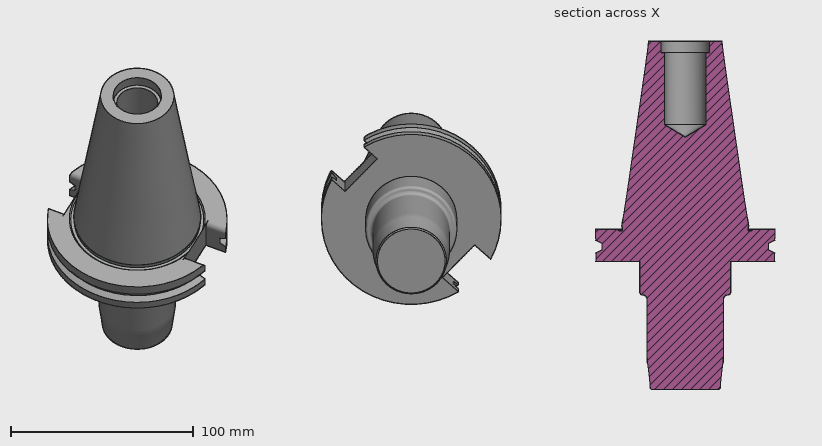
import cadquery as cq
import math

total_height = 190.6
flange_bottom = 70.0
flange_top = 87.7
gauge_plane = 89.0

taper_ratio = 7 / 24
gauge_radius = 69.8 / 2
taper_edge = 0.4
taper_bottom = gauge_plane + taper_edge
taper_bottom_radius = gauge_radius - taper_edge * taper_ratio / 2
taper_top_radius = gauge_radius - (total_height - gauge_plane) * taper_ratio / 2

neck_radius = 69.2 / 2
relief_outer_radius = 37.2
relief_floor_radius = 36.4
relief_depth = 0.8

flange_radius = 98.3 / 2
groove_radius = 45.7
groove_wall_rise = 1.7
groove_lower_edge = 74.7
groove_upper_edge = 81.5

slot_width = 25.7
slot_edge_radius = 2.9
left_slot_floor = 37.5
right_slot_floor = 35.5

collar_radius = 50.0 / 2
body_radius = 42 / 2
collar_round = 1.7
body_round = collar_radius - body_radius - collar_round
collar_round_top = 53.4
shoulder_height = collar_round_top - collar_round

nose_chamfer = 0.8
nose_base_radius = 19.3
blend_top = 17.7
blend_bottom = 14.9
nose_apex_height = (blend_top + blend_bottom) / 2
nose_slope = (body_radius - nose_base_radius) / (nose_apex_height - nose_chamfer)
blend_bottom_radius = nose_base_radius + nose_slope * (blend_bottom - nose_chamfer)

counterbore_radius = 26.3 / 2
counterbore_depth = 6.3
bore_radius = 22.5 / 2
bore_depth = 45.7
drill_half_angle = math.radians(59)
drill_tip_height = bore_radius / math.tan(drill_half_angle)


def revolved_body():
    """Solid of revolution from the nose up to the taper's small end."""
    profile = (
        cq.Workplane("XZ")
        .lineTo(nose_base_radius - nose_chamfer, 0)
        .lineTo(nose_base_radius, nose_chamfer)
        .lineTo(blend_bottom_radius, blend_bottom)
        .tangentArcPoint((body_radius, blend_top), relative=False)
        .lineTo(body_radius, shoulder_height - body_round)
        .tangentArcPoint((body_radius + body_round, shoulder_height), relative=False)
        .radiusArc((collar_radius, collar_round_top), -collar_round)
        .lineTo(collar_radius, flange_bottom)
        .lineTo(flange_radius, flange_bottom)
        .lineTo(flange_radius, groove_lower_edge)
        .lineTo(groove_radius, groove_lower_edge + groove_wall_rise)
        .lineTo(groove_radius, groove_upper_edge - groove_wall_rise)
        .lineTo(flange_radius, groove_upper_edge)
        .lineTo(flange_radius, flange_top)
        .lineTo(relief_outer_radius, flange_top)
        .lineTo(relief_floor_radius, flange_top - relief_depth)
        .lineTo(neck_radius, flange_top - relief_depth)
        .lineTo(neck_radius, gauge_plane)
        .lineTo(taper_bottom_radius, taper_bottom)
        .lineTo(taper_top_radius, total_height)
        .lineTo(0, total_height)
        .close()
    )
    return profile.revolve(360, (0, 0, 0), (0, 1, 0))


def drive_slot(floor, side):
    """Slot cutter, flaring through rounded edges at the flange face; side is -1 or +1 along X."""
    half_width = slot_width / 2
    half_mouth = half_width + slot_edge_radius
    round_start = flange_top - slot_edge_radius
    return (
        cq.Workplane("YZ", origin=(side * floor, 0, 0))
        .moveTo(-half_width, flange_bottom)
        .lineTo(half_width, flange_bottom)
        .lineTo(half_width, round_start)
        .tangentArcPoint((half_mouth, flange_top), relative=False)
        .lineTo(-half_mouth, flange_top)
        .radiusArc((-half_width, round_start), slot_edge_radius)
        .close()
        .extrude(side * flange_radius)
    )


def blind_bore():
    """Counterbored hole with a conical drill tip."""
    counterbore_floor = total_height - counterbore_depth
    bore_floor = total_height - bore_depth
    return (
        cq.Workplane("XZ")
        .moveTo(0, total_height)
        .lineTo(counterbore_radius, total_height)
        .lineTo(counterbore_radius, counterbore_floor)
        .lineTo(bore_radius, counterbore_floor)
        .lineTo(bore_radius, bore_floor)
        .lineTo(0, bore_floor - drill_tip_height)
        .close()
        .revolve(360, (0, 0, 0), (0, 1, 0))
    )


result = (
    revolved_body()
    .cut(drive_slot(left_slot_floor, -1))
    .cut(drive_slot(right_slot_floor, 1))
    .cut(blind_bore())
)